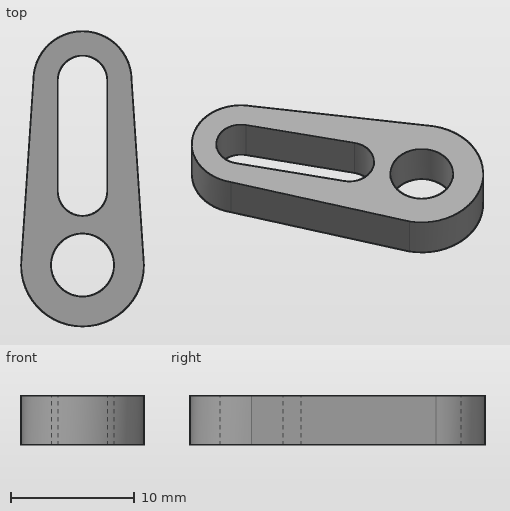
import cadquery as cq

thickness = 4.0
pivot_end_radius = 5.0
slot_end_radius = 4.0
end_spacing = 15.0
pivot_hole_diameter = 5.1
slot_width = 4.0
slot_travel = 9.0

slot_centre_y = end_spacing - slot_travel / 2
slot_length = slot_travel + slot_width


def make_arm():
    """Tapered plate: two half-circle ends joined by straight sides."""
    return (
        cq.Workplane("XY")
        .moveTo(-pivot_end_radius, 0)
        .threePointArc((0, -pivot_end_radius), (pivot_end_radius, 0))
        .lineTo(slot_end_radius, end_spacing)
        .threePointArc((0, end_spacing + slot_end_radius), (-slot_end_radius, end_spacing))
        .close()
        .extrude(thickness)
    )


def make_pivot_hole():
    """Round cutter for the through hole at the wide end."""
    return cq.Workplane("XY").circle(pivot_hole_diameter / 2).extrude(thickness)


def make_slot():
    """Round-ended cutter for the through slot along the arm."""
    return (
        cq.Workplane("XY")
        .center(0, slot_centre_y)
        .slot2D(slot_length, slot_width, angle=90)
        .extrude(thickness)
    )


result = make_arm().cut(make_pivot_hole()).cut(make_slot())